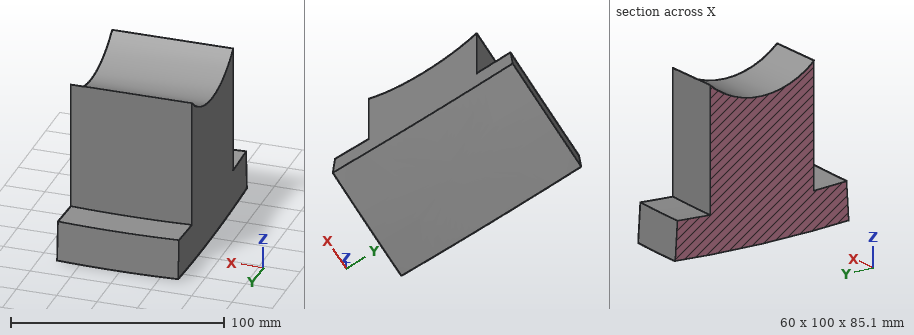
import cadquery as cq
import math

width = 60.0
base_length = 100.0
base_thickness = 20.0
post_length = 60.0
height = 85.1
sphere_radius = 800.0
saddle_radius = 45.0

half_base = base_length / 2
half_post = post_length / 2
sphere_center = (0, 0, sphere_radius)
saddle_center_z = height + math.sqrt(saddle_radius**2 - half_post**2)
saddle_floor_z = saddle_center_z - saddle_radius


def ball(radius):
    """Solid ball about the common centre of the base surfaces."""
    return cq.Workplane("XY").sphere(radius).translate(sphere_center)


def extrude_across_width(outline):
    """Extrude a closed YZ outline symmetrically along X."""
    return outline.extrude(width / 2, both=True)


def make_base():
    """Curved slab between concentric spheres, with ends pointing at their centre."""
    end_slope = half_base / math.sqrt(sphere_radius**2 - half_base**2)
    wedge_top = 2 * base_thickness
    wedge_bottom = -base_thickness
    top_half = end_slope * (sphere_radius - wedge_top)
    bottom_half = end_slope * (sphere_radius - wedge_bottom)
    wedge = extrude_across_width(
        cq.Workplane("YZ")
        .moveTo(-bottom_half, wedge_bottom)
        .lineTo(bottom_half, wedge_bottom)
        .lineTo(top_half, wedge_top)
        .lineTo(-top_half, wedge_top)
        .close()
    )
    return wedge.intersect(ball(sphere_radius)).cut(ball(sphere_radius - base_thickness))


def make_post():
    """Upright block with a cylindrical saddle on top, rooted inside the base."""
    root_z = base_thickness / 2
    return extrude_across_width(
        cq.Workplane("YZ")
        .moveTo(-half_post, root_z)
        .lineTo(half_post, root_z)
        .lineTo(half_post, height)
        .threePointArc((0, saddle_floor_z), (-half_post, height))
        .close()
    )


result = make_base().union(make_post())